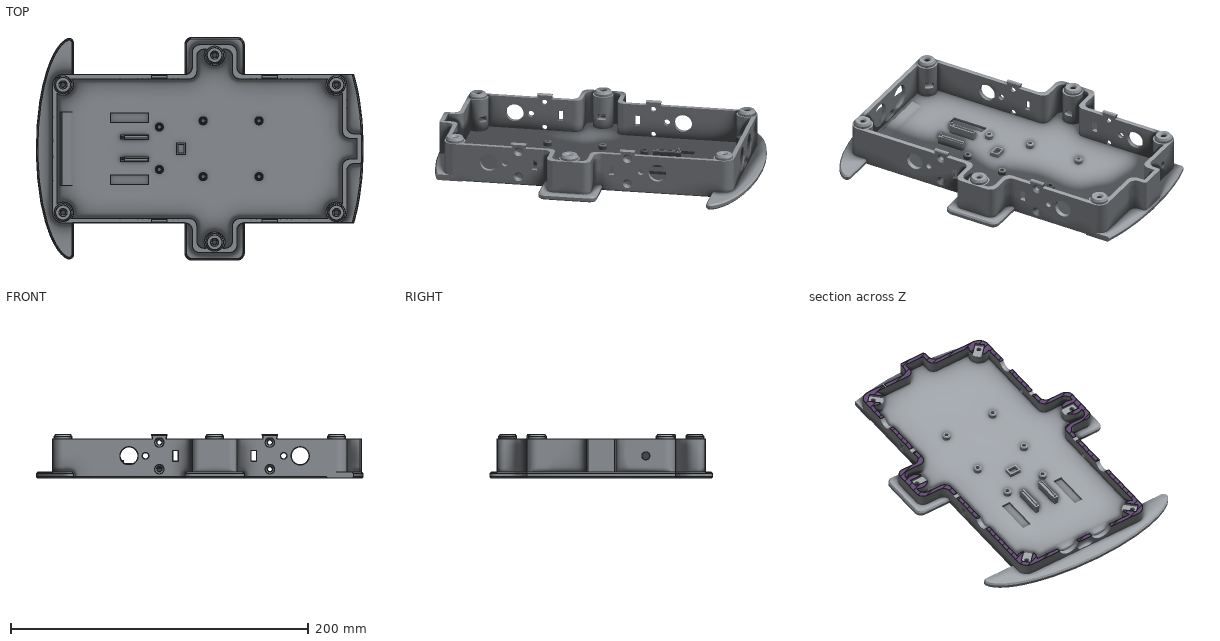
import cadquery as cq
import math

PLATE_HEIGHT = 4.0
PLATE_EDGE_CHAMFER = 1.0
BUMPER_HALF_WIDTH = 75.0
BUMPER_DEPTH = 25.0
BUMPER_BACK_X = 85.0
BUMPER_TIP_X = BUMPER_BACK_X + BUMPER_DEPTH
BUMPER_TIP_RADIUS = 3.0
WING_X = 10.0
WING_PLATE_LENGTH = 40.0
WING_PLATE_RADIUS = 5.0

BODY_HALF_LENGTH = 99.0
BODY_HALF_WIDTH = 50.0
WALL = 3.0
WALL_TOP = 26.5
OPENING_Z = 15.0
CORNER_RADIUS = 7.0
BEND_RADIUS = 5.0
WING_WALL_HALF_LENGTH = 15.0
WING_WALL_HALF_WIDTH = 70.0
NOSE_X = 109.0
NOSE_HALF_WIDTH = 10.0
NOSE_CHAMFER = 1.0

POST_DIAMETER = 14.0
POST_TOP = 29.5
COLLAR_DIAMETER = 12.0
COLLAR_CHAMFER = 1.0
COLLAR_CHAMFER_HEIGHT = 1.5
SCREW_DIAMETER = 3.4
SCREW_HEAD_DIAMETER = 5.4
CORNER_POST_X = BODY_HALF_LENGTH - POST_DIAMETER / 2
CORNER_POST_Y = BODY_HALF_WIDTH - POST_DIAMETER / 2
WING_POST_Y = WING_WALL_HALF_WIDTH - POST_DIAMETER / 2
NUT_WIDTH = 6.2
NUT_THICKNESS = 4.0
NUT_Z = 12.4

AXLE_OFFSET = 57.6
AXLE_DIAMETER = 12.0
PEG_OFFSET = 46.5
PEG_DIAMETER = 4.2
MOTOR_SCREW_OFFSET = 37.2
MOTOR_SCREW_SPACING = 18.0
MOTOR_SCREW_HEAD = 6.3
STRAP_OFFSET = 26.3
STRAP_LENGTH = 3.5
STRAP_HEIGHT = 7.0
TAB_TOP_LENGTH = 10.5
TAB_ROOT_LENGTH = 9.3
TAB_CHAMFER = 0.7

EYE_DIAMETER = 16.5
EYE_Y = 13.1
PORT_WIDTH = 11.8
PORT_HEIGHT = 5.4
PORT_Z = 7.7
PORT_RADIUS = 2.6
CABLE_Y = 30.0
CABLE_DIAMETER = 5.4

STANDOFF_DIAMETER = 5.4
STANDOFF_HOLE = 2.8
STANDOFF_HEIGHT = 3.0
STANDOFF_CHAMFER = 0.6
BOARD_STANDOFFS = [(x, y) for x in (2.3, 39.9) for y in (-18.8, 18.8)]
SENSOR_Y = 0.3
SENSOR_STANDOFFS = [(-27.2, SENSOR_Y + offset) for offset in (-14.3, 14.3)]
RAIL_LEFT = -53.3
RAIL_RIGHT = -34.5
RAIL_INNER_Y = 6.0
RAIL_OUTER_Y = 8.9
RAIL_TOP = 9.7
RAIL_THIN_WALL = 0.4
RAIL_THICK_WALL = 0.9
RAIL_GROOVE_DEPTH = 1.5
RAIL_FOOT_LENGTH = 2.6
RAIL_FOOT_INSET = 0.2
PIN_DIAMETER = 1.2
PIN_TOP = 11.8
SLOT_LEFT = -60.0
SLOT_RIGHT = RAIL_RIGHT
SLOT_Y = 21.0
SLOT_WIDTH = 6.4
SLOT_DEPTH = 2.0
SOCKET_X = -12.5
SOCKET_LENGTH = 6.0
SOCKET_WIDTH = 8.0
SOCKET_WALL = 1.0
SOCKET_HEIGHT = 2.7
RIDGE_LEFT = -94.0
RIDGE_PEAK = -92.7
RIDGE_RIGHT = -86.0
RIDGE_HALF_WIDTH = 24.8
RIDGE_HEIGHT = 1.6


def block(x_min, x_max, y_min, y_max, z_min, z_max):
    """Box given by its limits."""
    size = (x_max - x_min, y_max - y_min, z_max - z_min)
    return cq.Workplane("XY").box(*size, centered=False).translate((x_min, y_min, z_min))


def cylinder(diameter, x, y, z_min, z_max):
    return cq.Workplane("XY", origin=(x, y, z_min)).circle(diameter / 2).extrude(z_max - z_min)


def countersink(head_diameter, mouth, direction):
    """45 degree cone narrowing from the head diameter to the screw diameter."""
    depth = (head_diameter - SCREW_DIAMETER) / 2
    cone = cq.Solid.makeCone(
        head_diameter / 2, SCREW_DIAMETER / 2, depth, cq.Vector(*mouth), cq.Vector(*direction)
    )
    return cq.Workplane(cone)


def end_cap(side):
    """Half-ellipse plate at one end (side -1 or 1), straight across at BUMPER_BACK_X."""
    cap = (
        cq.Workplane("XY")
        .center(side * BUMPER_BACK_X, 0)
        .ellipse(BUMPER_DEPTH, BUMPER_HALF_WIDTH)
        .extrude(PLATE_HEIGHT)
    )
    x_min, x_max = sorted((side * BUMPER_BACK_X, side * BUMPER_TIP_X))
    return cap.intersect(block(x_min, x_max, -BUMPER_HALF_WIDTH, BUMPER_HALF_WIDTH, 0, PLATE_HEIGHT))


def plate():
    """Base plate: rounded bumper at -X, clipped tail at +X, and a wing on each side."""
    bumper = end_cap(-1).edges("|Z").fillet(BUMPER_TIP_RADIUS)
    bumper = bumper.faces("|Z").edges().chamfer(PLATE_EDGE_CHAMFER)
    tail = end_cap(1).faces("|Z").edges().chamfer(PLATE_EDGE_CHAMFER)
    tail = tail.intersect(
        block(0, BUMPER_TIP_X, -BODY_HALF_WIDTH, BODY_HALF_WIDTH, 0, PLATE_HEIGHT)
    )
    middle = block(
        -BUMPER_BACK_X - PLATE_EDGE_CHAMFER,
        BUMPER_BACK_X + PLATE_EDGE_CHAMFER,
        -BODY_HALF_WIDTH,
        BODY_HALF_WIDTH,
        0,
        PLATE_HEIGHT,
    )
    wings = (
        cq.Workplane("XY", origin=(WING_X, 0, 0))
        .rect(WING_PLATE_LENGTH, 2 * BUMPER_HALF_WIDTH)
        .extrude(PLATE_HEIGHT)
        .edges("|Z")
        .fillet(WING_PLATE_RADIUS)
        .faces("|Z")
        .edges()
        .chamfer(PLATE_EDGE_CHAMFER)
    )
    middle = middle.faces("<Z").edges("|X").chamfer(PLATE_EDGE_CHAMFER)
    return middle.union(bumper).union(tail).union(wings)


def shell_solid(inset):
    """Solid filling the wall outline, moved inward by inset."""
    z = PLATE_HEIGHT
    long_x = BODY_HALF_LENGTH - inset
    long_y = BODY_HALF_WIDTH - inset
    wing_x = WING_WALL_HALF_LENGTH - inset
    wing_y = WING_WALL_HALF_WIDTH - inset
    nose_x = NOSE_X - inset
    nose_y = NOSE_HALF_WIDTH - inset
    body = block(-long_x, long_x, -long_y, long_y, z, WALL_TOP)
    body = body.edges("|Z").fillet(CORNER_RADIUS - inset)
    wings = block(WING_X - wing_x, WING_X + wing_x, -wing_y, wing_y, z, WALL_TOP)
    wings = wings.edges("|Z").fillet(BEND_RADIUS)
    nose = block(0, nose_x, -nose_y, nose_y, z, WALL_TOP)
    solid = body.union(wings).union(nose)
    bends = [(WING_X + sx * wing_x, sy * long_y) for sx in (-1, 1) for sy in (-1, 1)]
    bends += [(long_x, sy * nose_y) for sy in (-1, 1)]
    mid_z = (z + WALL_TOP) / 2
    for x, y in bends:
        corner = cq.selectors.NearestToPointSelector((x, y, mid_z))
        solid = solid.edges("|Z").edges(corner).fillet(BEND_RADIUS)
    return solid


def post_places():
    """Post axes with the direction, in degrees, that each nut pocket faces."""
    places = []
    for side_y in (-1, 1):
        places.append((WING_X, side_y * WING_POST_Y, -90 * side_y))
        for side_x in (-1, 1):
            x = side_x * CORNER_POST_X
            y = side_y * CORNER_POST_Y
            places.append((x, y, math.degrees(math.atan2(-side_y, -side_x))))
    return places


def post(x, y):
    body = cylinder(POST_DIAMETER, x, y, PLATE_HEIGHT, WALL_TOP)
    collar = cylinder(COLLAR_DIAMETER, x, y, WALL_TOP, POST_TOP)
    return body.union(collar.faces(">Z").edges().chamfer(COLLAR_CHAMFER_HEIGHT, COLLAR_CHAMFER))


def post_cut(x, y, nut_angle):
    """Countersunk screw hole and the pocket for its nut."""
    hole = cylinder(SCREW_DIAMETER, x, y, PLATE_HEIGHT, POST_TOP)
    head = countersink(SCREW_HEAD_DIAMETER, (x, y, POST_TOP), (0, 0, -1))
    nut = block(
        -NUT_WIDTH / 2,
        POST_DIAMETER,
        -NUT_WIDTH / 2,
        NUT_WIDTH / 2,
        NUT_Z - NUT_THICKNESS / 2,
        NUT_Z + NUT_THICKNESS / 2,
    )
    nut = nut.rotate((0, 0, 0), (0, 0, 1), nut_angle).translate((x, y, 0))
    return hole.union(head).union(nut)


def tab(x, side):
    """Tab on top of a long wall, wider at its top than at its root."""
    outer_y = max(side * BODY_HALF_WIDTH, side * (BODY_HALF_WIDTH - WALL))
    outline = [
        (x - TAB_ROOT_LENGTH / 2, WALL_TOP),
        (x - TAB_TOP_LENGTH / 2, POST_TOP),
        (x + TAB_TOP_LENGTH / 2, POST_TOP),
        (x + TAB_ROOT_LENGTH / 2, WALL_TOP),
    ]
    body = cq.Workplane("XZ", origin=(0, outer_y, 0)).polyline(outline).close().extrude(WALL)
    return body.faces(">Z").edges("|X").chamfer(TAB_CHAMFER)


def side_bore(diameter, x, z):
    """Round bar across both long walls."""
    length = 2 * BODY_HALF_WIDTH
    return cq.Workplane("XZ", origin=(x, length / 2, z)).circle(diameter / 2).extrude(length)


def motor_screw(x, z):
    """Screw hole across both long walls, countersunk from outside."""
    cut = side_bore(SCREW_DIAMETER, x, z)
    for side in (-1, 1):
        cut = cut.union(countersink(MOTOR_SCREW_HEAD, (x, side * BODY_HALF_WIDTH, z), (0, -side, 0)))
    return cut


def motor_cuts(side):
    """All openings for the motors at one end of the long walls."""
    strap_x = WING_X + side * STRAP_OFFSET
    screw_x = WING_X + side * MOTOR_SCREW_OFFSET
    cuts = block(
        strap_x - STRAP_LENGTH / 2,
        strap_x + STRAP_LENGTH / 2,
        -BODY_HALF_WIDTH,
        BODY_HALF_WIDTH,
        OPENING_Z - STRAP_HEIGHT / 2,
        OPENING_Z + STRAP_HEIGHT / 2,
    )
    cuts = cuts.union(side_bore(AXLE_DIAMETER, WING_X + side * AXLE_OFFSET, OPENING_Z))
    cuts = cuts.union(side_bore(PEG_DIAMETER, WING_X + side * PEG_OFFSET, OPENING_Z))
    for level in (-1, 1):
        cuts = cuts.union(motor_screw(screw_x, OPENING_Z + level * MOTOR_SCREW_SPACING / 2))
    return cuts


def end_bore(diameter, x, y, z):
    """Round bar through an end wall, starting at x."""
    return cq.Workplane("YZ", origin=(x, y, z)).circle(diameter / 2).extrude(WALL)


def end_cuts():
    """Two round openings and the port in the -X wall, one cable hole in the +X wall."""
    front = -BODY_HALF_LENGTH
    cuts = (
        cq.Workplane("YZ", origin=(front, 0, PORT_Z))
        .rect(PORT_WIDTH, PORT_HEIGHT)
        .extrude(WALL)
        .edges("|X")
        .fillet(PORT_RADIUS)
    )
    for side in (-1, 1):
        cuts = cuts.union(end_bore(EYE_DIAMETER, front, side * EYE_Y, OPENING_Z))
    return cuts.union(end_bore(CABLE_DIAMETER, BODY_HALF_LENGTH - WALL, CABLE_Y, OPENING_Z))


def standoff(x, y):
    top = PLATE_HEIGHT + STANDOFF_HEIGHT
    body = cylinder(STANDOFF_DIAMETER, x, y, PLATE_HEIGHT, top)
    body = body.faces(">Z").edges().chamfer(STANDOFF_CHAMFER)
    return body.cut(cylinder(STANDOFF_HOLE, x, y, PLATE_HEIGHT, top))


def rail():
    """Grooved rail on the +Y side of its pair, with a pin on its foot."""
    foot_right = RAIL_LEFT + RAIL_FOOT_LENGTH
    middle_y = (RAIL_INNER_Y + RAIL_OUTER_Y) / 2
    foot = block(
        RAIL_LEFT, foot_right, RAIL_INNER_Y + RAIL_FOOT_INSET, RAIL_OUTER_Y, PLATE_HEIGHT, RAIL_TOP
    )
    body = block(foot_right, RAIL_RIGHT, RAIL_INNER_Y, RAIL_OUTER_Y, PLATE_HEIGHT, RAIL_TOP)
    groove = block(
        foot_right,
        RAIL_RIGHT - RAIL_THIN_WALL,
        RAIL_INNER_Y + RAIL_THICK_WALL,
        RAIL_OUTER_Y - RAIL_THIN_WALL,
        RAIL_TOP - RAIL_GROOVE_DEPTH,
        RAIL_TOP,
    )
    pin = cylinder(PIN_DIAMETER, RAIL_LEFT + RAIL_FOOT_LENGTH / 2, middle_y, RAIL_TOP, PIN_TOP)
    return body.cut(groove).union(foot).union(pin)


def socket():
    """Open-topped rectangular box on the floor."""
    base = cq.Workplane("XY", origin=(SOCKET_X, 0, PLATE_HEIGHT))
    body = base.rect(SOCKET_LENGTH, SOCKET_WIDTH).extrude(SOCKET_HEIGHT)
    inner_length = SOCKET_LENGTH - 2 * SOCKET_WALL
    inner_width = SOCKET_WIDTH - 2 * SOCKET_WALL
    return body.cut(base.rect(inner_length, inner_width).extrude(SOCKET_HEIGHT))


def ridge():
    """Low ridge along Y, steep towards -X and shallow towards +X."""
    return (
        cq.Workplane("XZ", origin=(0, RIDGE_HALF_WIDTH, 0))
        .moveTo(RIDGE_LEFT, PLATE_HEIGHT)
        .lineTo(RIDGE_PEAK, PLATE_HEIGHT + RIDGE_HEIGHT)
        .lineTo(RIDGE_RIGHT, PLATE_HEIGHT)
        .close()
        .extrude(2 * RIDGE_HALF_WIDTH)
    )


def floor_slot(side):
    """Shallow rectangular recess in the floor (side -1 or 1)."""
    y = side * SLOT_Y
    y_min = y - SLOT_WIDTH / 2
    y_max = y + SLOT_WIDTH / 2
    return block(SLOT_LEFT, SLOT_RIGHT, y_min, y_max, PLATE_HEIGHT - SLOT_DEPTH, PLATE_HEIGHT)


outer = shell_solid(0)
outer = outer.faces(">X").edges("|Z").chamfer(NOSE_CHAMFER)
result = plate().union(outer)
result = result.cut(shell_solid(WALL))
for x, y, _ in post_places():
    result = result.union(post(x, y))
for place in post_places():
    result = result.cut(post_cut(*place))
for end in (-1, 1):
    for side in (-1, 1):
        result = result.union(tab(WING_X + end * MOTOR_SCREW_OFFSET, side))
for end in (-1, 1):
    result = result.cut(motor_cuts(end))
result = result.cut(end_cuts())
for x, y in BOARD_STANDOFFS + SENSOR_STANDOFFS:
    result = result.union(standoff(x, y))
for pair_rail in (rail(), rail().mirror("XZ")):
    result = result.union(pair_rail.translate((0, SENSOR_Y, 0)))
result = result.union(socket()).union(ridge())
for side in (-1, 1):
    result = result.cut(floor_slot(side))